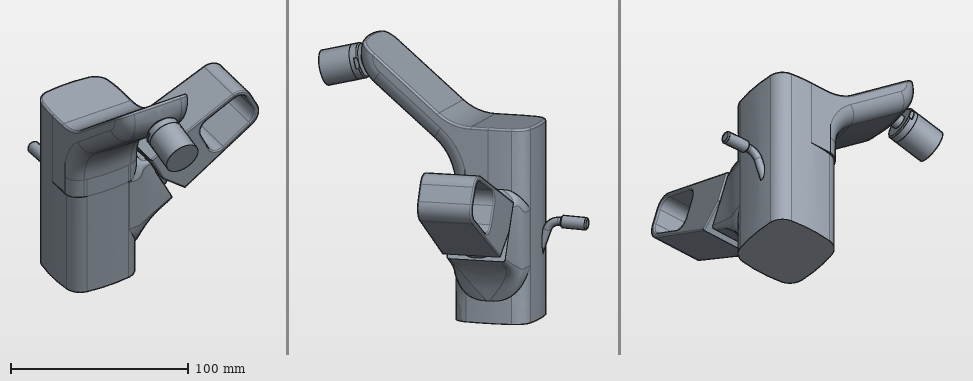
import cadquery as cq
import math

body_half = 23.1
crown_radius = 94.0
corner_radius = 10.0
column_height = 112.2
rim_round = 1.2

spout_angle = 39.7
spout_seam_height = 66.0
underside_bend_height = 77.6
underside_bend_radius = 32.5
underside_length = 47.0
tip_curl_radius = 22.5
tip_curl_angle = 80.0
top_bend_start = 10.4
top_bend_radius = 30.0
spout_section_depth = 22.3
spout_corner_radius = 9.3
trim_overrun = 80.0

outlet_angle = 14.0
outlet_x = 81.35
outlet_z = 142.75
stem_diameter = 8.6
stem_length = 9.0
shell_diameter = 20.4
shell_length = 18.7
collar_length = 4.9
collar_chamfer = 0.8
flat_height = 6.4
flat_depth = 2.4
flat_cut = 0.7

rod_y = -6.8
rod_z = 55.4
rod_diameter = 4.7
rod_bend_radius = 7.3
rod_bend_angle = 70.0
rod_tail_length = 18.0
rod_bend_start_x = -32.2
rod_neck_length = 1.7
knob_diameter = 7.2
knob_length = 15.3
knob_chamfer = 0.8
knob_tilt = 2.0

neck_tilt = 26.5
neck_face_y = 38.2
neck_face_z = 55.6
neck_face_height = 34.0
neck_face_half_width = 17.3
neck_face_corner = 1.5
neck_root_y = 13.0
neck_root_top = 75.0
neck_side_y = body_half
neck_side_top = 77.0
neck_side_bottom = 13.0
neck_root_bottom = 18.0
neck_root_half_width = 22.1
neck_side_half_width = 20.4
neck_root_top_corner = 9.5
neck_root_bottom_corner = 15.0
neck_side_top_corner = 11.0
neck_side_bottom_corner = 19.5
neck_top_middle = (26.0, 72.9)
neck_bottom_middle = (31.4, 29.7)
neck_stations = 4

dome_radius = 16.0
dome_sink = 2.9

handle_base_top = (31.1, 72.1)
handle_base_knee = (39.2, 56.1)
handle_base_bottom = (53.8, 44.5)
handle_tip_bottom = (106.1, 75.7)
handle_tip_top = (93.9, 100.0)
handle_corner = 9.0
handle_wall = 2.7
handle_hole_base = (64.7, 76.0)
handle_hole_corner = 7.0
handle_edge_round = 0.8
handle_wide_y = 45.0
handle_wide_half = 17.6
handle_narrow_y = 100.0
handle_narrow_half = 16.1


def sloped(point, length, angle):
    """Point reached from `point` by going `length` at `angle` degrees above horizontal."""
    a = math.radians(angle)
    return (point[0] + length * math.cos(a), point[1] + length * math.sin(a))


def line_crossing(p, p_angle, q, q_angle):
    """Crossing of two lines, each given by a point and an angle in degrees."""
    pa = math.radians(p_angle)
    qa = math.radians(q_angle)
    run = (q[0] - p[0]) * math.sin(qa) - (q[1] - p[1]) * math.cos(qa)
    return sloped(p, run / math.sin(qa - pa), p_angle)


def blend(start, end, t):
    """Value a fraction `t` of the way from `start` to `end`."""
    return start + t * (end - start)


def make_column():
    reach = crown_radius - body_half
    blank = cq.Workplane("XY").rect(4 * body_half, 4 * body_half).extrude(column_height)
    for x, y in ((reach, 0), (-reach, 0), (0, reach), (0, -reach)):
        crown = cq.Workplane("XY").center(x, y).circle(crown_radius).extrude(column_height)
        blank = blank.intersect(crown)
    return blank.edges("|Z").fillet(corner_radius)


def spout_section():
    """Flat sides, a crowned front and two round corners, drawn level at the seam."""
    crown_center = body_half - crown_radius
    corner_y = body_half - spout_corner_radius
    to_corner = crown_radius - spout_corner_radius
    corner_x = crown_center + math.sqrt(to_corner**2 - corner_y**2)
    half_turn = math.atan2(corner_y, corner_x - crown_center)
    front = (crown_center + crown_radius * math.cos(half_turn), crown_radius * math.sin(half_turn))
    middle_turn = (half_turn + math.pi / 2) / 2
    middle = (
        corner_x + spout_corner_radius * math.cos(middle_turn),
        corner_y + spout_corner_radius * math.sin(middle_turn),
    )
    back_x = body_half - spout_section_depth
    return (
        cq.Workplane("XY", origin=(0, 0, spout_seam_height))
        .moveTo(back_x, -body_half)
        .lineTo(corner_x, -body_half)
        .threePointArc((middle[0], -middle[1]), (front[0], -front[1]))
        .threePointArc((body_half, 0), front)
        .threePointArc(middle, (corner_x, body_half))
        .lineTo(back_x, body_half)
        .close()
    )


def spout_path():
    """Underside of the spout in the XZ plane: up, outward, along the slope, then curling up."""
    bend_center = (body_half + underside_bend_radius, underside_bend_height)
    bend_end_angle = 90 + spout_angle
    bend_middle = sloped(bend_center, underside_bend_radius, (180 + bend_end_angle) / 2)
    bend_end = sloped(bend_center, underside_bend_radius, bend_end_angle)
    slope_end = sloped(bend_end, underside_length, spout_angle)
    curl_center = sloped(slope_end, tip_curl_radius, spout_angle + 90)
    curl_start_angle = spout_angle - 90
    curl_middle = sloped(curl_center, tip_curl_radius, curl_start_angle + tip_curl_angle / 2)
    curl_end = sloped(curl_center, tip_curl_radius, curl_start_angle + tip_curl_angle)
    return (
        cq.Workplane("XZ")
        .moveTo(body_half, spout_seam_height)
        .lineTo(body_half, underside_bend_height)
        .threePointArc(bend_middle, bend_end)
        .lineTo(*slope_end)
        .threePointArc(curl_middle, curl_end)
    )


def space_below_top():
    """Everything under the top surface: level, one bend, then the slope."""
    bend_center = (top_bend_start, column_height + top_bend_radius)
    bend_middle = sloped(bend_center, top_bend_radius, spout_angle / 2 - 90)
    bend_end = sloped(bend_center, top_bend_radius, spout_angle - 90)
    far = sloped(bend_end, trim_overrun, spout_angle)
    return (
        cq.Workplane("XZ")
        .moveTo(-2 * body_half, 0)
        .lineTo(-2 * body_half, column_height)
        .lineTo(top_bend_start, column_height)
        .threePointArc(bend_middle, bend_end)
        .lineTo(*far)
        .lineTo(far[0], 0)
        .close()
        .extrude(2 * body_half, both=True)
    )


def make_spout():
    swept = spout_section().sweep(spout_path())
    cheek_length = body_half - spout_corner_radius
    cheeks = (
        cq.Workplane("XY", origin=(cheek_length / 2, 0, spout_seam_height))
        .rect(cheek_length, 2 * body_half)
        .extrude(trim_overrun)
    )
    return swept.union(cheeks).intersect(space_below_top())


def round_top_rim(body):
    """Round the edges that border the top faces, but not the lines between those faces."""
    top_faces = [
        face
        for face in body.faces().vals()
        if face.Center().z > column_height - rim_round and face.normalAt().z > 0.5
    ]
    border = []
    for face in top_faces:
        for edge in face.Edges():
            shared = sum(edge.isSame(other) for near in top_faces for other in near.Edges())
            if shared == 1:
                border.append(edge)
    return body.newObject(border).fillet(rim_round)


def neck_plane(y, z, tilt):
    """Plane facing outward in +Y and tilted up; its local x is -X and its local y points up."""
    t = math.radians(tilt)
    return cq.Plane(origin=(0, y, z), xDir=(-1, 0, 0), normal=(0, math.cos(t), math.sin(t)))


def neck_section(top, bottom, half_width, top_corner, bottom_corner):
    """Outline spanning from the bottom point to the top point, with its corners rounded."""
    half_height = math.hypot(top[0] - bottom[0], top[1] - bottom[1]) / 2
    tilt = math.degrees(math.atan2(bottom[0] - top[0], top[1] - bottom[1]))
    plane = neck_plane((top[0] + bottom[0]) / 2, (top[1] + bottom[1]) / 2, tilt)
    top_flat = half_width - top_corner
    bottom_flat = half_width - bottom_corner
    return (
        cq.Workplane(plane)
        .moveTo(bottom_flat, -half_height)
        .radiusArc((half_width, bottom_corner - half_height), -bottom_corner)
        .lineTo(half_width, half_height - top_corner)
        .radiusArc((top_flat, half_height), -top_corner)
        .lineTo(-top_flat, half_height)
        .radiusArc((-half_width, half_height - top_corner), -top_corner)
        .lineTo(-half_width, bottom_corner - half_height)
        .radiusArc((-bottom_flat, -half_height), -bottom_corner)
        .close()
        .val()
    )


def make_neck():
    face = (neck_face_y, neck_face_z)
    face_top = sloped(face, neck_face_height / 2, 90 + neck_tilt)
    face_bottom = sloped(face, neck_face_height / 2, neck_tilt - 90)
    top_ends = ((neck_side_y, neck_side_top), neck_top_middle, face_top)
    bottom_ends = ((neck_side_y, neck_side_bottom), neck_bottom_middle, face_bottom)
    top_curve = cq.Edge.makeThreePointArc(*(cq.Vector(*p) for p in top_ends))
    bottom_curve = cq.Edge.makeThreePointArc(*(cq.Vector(*p) for p in bottom_ends))
    root = neck_section(
        (neck_root_y, neck_root_top),
        (neck_root_y, neck_root_bottom),
        neck_root_half_width,
        neck_root_top_corner,
        neck_root_bottom_corner,
    )
    sections = [root]
    for i in range(neck_stations):
        t = i / (neck_stations - 1)
        rounding = (1 - t) ** 2
        sections.append(
            neck_section(
                top_curve.positionAt(t).toTuple(),
                bottom_curve.positionAt(t).toTuple(),
                blend(neck_side_half_width, neck_face_half_width, t),
                blend(neck_face_corner, neck_side_top_corner, rounding),
                blend(neck_face_corner, neck_side_bottom_corner, rounding),
            )
        )
    return cq.Workplane(cq.Solid.makeLoft(sections))


def make_dome():
    plane = neck_plane(neck_face_y, neck_face_z, neck_tilt)
    ball = cq.Workplane(plane).workplane(offset=-dome_sink).sphere(dome_radius)
    front = cq.Workplane(plane).rect(4 * dome_radius, 4 * dome_radius).extrude(2 * dome_radius)
    return ball.intersect(front)


def direction(start, end):
    """Angle in degrees of the line from `start` to `end`."""
    return math.degrees(math.atan2(end[1] - start[1], end[0] - start[0]))


def prism_across_x(outline):
    """Outline in the YZ plane, extended to both sides past the full width of the part."""
    return cq.Workplane("YZ").polyline(outline).close().extrude(2 * body_half, both=True)


def handle_hole():
    """Opening that leaves an even wall along the top, the tip and the bottom of the handle."""
    top_angle = direction(handle_base_top, handle_tip_top)
    bottom_angle = direction(handle_base_bottom, handle_tip_bottom)
    cross_angle = 90 + neck_tilt
    top_inside = sloped(handle_tip_top, handle_wall, top_angle - 90)
    bottom_inside = sloped(handle_tip_bottom, handle_wall, bottom_angle + 90)
    tip_inside = sloped(handle_tip_top, handle_wall, cross_angle + 90)
    outline = [
        line_crossing(top_inside, top_angle, tip_inside, cross_angle),
        line_crossing(bottom_inside, bottom_angle, tip_inside, cross_angle),
        line_crossing(bottom_inside, bottom_angle, handle_hole_base, cross_angle),
        line_crossing(top_inside, top_angle, handle_hole_base, cross_angle),
    ]
    return prism_across_x(outline).edges("|X").fillet(handle_hole_corner)


def handle_taper():
    """Plan shape of the handle, narrowing steadily away from the column."""
    slope = (handle_narrow_half - handle_wide_half) / (handle_narrow_y - handle_wide_y)
    far_y = handle_tip_bottom[0]
    far_half = handle_wide_half + slope * (far_y - handle_wide_y)
    root_half = handle_wide_half - slope * handle_wide_y
    return (
        cq.Workplane("XY")
        .polyline([(-root_half, 0), (root_half, 0), (far_half, far_y), (-far_half, far_y)])
        .close()
        .extrude(column_height)
    )


def make_handle(dome):
    outline = [handle_base_top, handle_base_knee, handle_base_bottom, handle_tip_bottom, handle_tip_top]
    handle = prism_across_x(outline).edges("|X").edges(">Y or >Z").fillet(handle_corner)
    handle = handle.intersect(handle_taper()).cut(handle_hole())
    handle = handle.faces("<X or >X").edges().fillet(handle_edge_round)
    return handle.cut(dome)


def outlet_plane(offset):
    """Plane across the outlet axis, `offset` past the back of the collar."""
    a = math.radians(outlet_angle)
    x, z = sloped((outlet_x, outlet_z), offset, -outlet_angle)
    return cq.Plane(origin=(x, 0, z), xDir=(0, 1, 0), normal=(math.cos(a), 0, -math.sin(a)))


def make_stem():
    return cq.Workplane(outlet_plane(-stem_length)).circle(stem_diameter / 2).extrude(stem_length)


def make_collar():
    collar = cq.Workplane(outlet_plane(0)).circle(shell_diameter / 2).extrude(collar_length)
    collar = collar.faces("<X").edges().chamfer(collar_chamfer)
    for side in (-1, 1):
        flat = (
            cq.Workplane(outlet_plane(0))
            .center(side * (shell_diameter / 2), 0)
            .rect(2 * flat_cut, flat_height)
            .extrude(flat_depth)
        )
        collar = collar.cut(flat)
    return collar


def make_shell():
    return cq.Workplane(outlet_plane(collar_length)).circle(shell_diameter / 2).extrude(shell_length)


def make_rod():
    neck_start = rod_bend_start_x - rod_neck_length
    center = (rod_bend_start_x, rod_z - rod_bend_radius)
    bend_middle = sloped(center, rod_bend_radius, 90 - rod_bend_angle / 2)
    bend_end = sloped(center, rod_bend_radius, 90 - rod_bend_angle)
    tail_end = sloped(bend_end, rod_tail_length, -rod_bend_angle)
    path = (
        cq.Workplane("XZ", origin=(0, rod_y, 0))
        .moveTo(neck_start, rod_z)
        .lineTo(rod_bend_start_x, rod_z)
        .threePointArc(bend_middle, bend_end)
        .lineTo(*tail_end)
    )
    start = cq.Workplane("YZ", origin=(neck_start, rod_y, rod_z))
    return start.circle(rod_diameter / 2).sweep(path)


def make_knob(rod):
    end_x = rod_bend_start_x - rod_neck_length
    end = (end_x, rod_y, rod_z)
    knob = cq.Workplane("YZ", origin=end).circle(knob_diameter / 2).extrude(-knob_length)
    knob = knob.faces("<X or >X").edges().chamfer(knob_chamfer)
    return knob.rotate(end, (end_x, rod_y + 1, rod_z), -knob_tilt).cut(rod)


def make_housing(stem, rod):
    """Column, spout and neck in one piece, with sockets for the stem and the pull rod."""
    housing = round_top_rim(make_column().union(make_spout()))
    return housing.union(make_neck()).cut(stem).cut(rod)


dome = make_dome()
handle = make_handle(dome)
stem = make_stem()
collar = make_collar()
shell = make_shell()
rod = make_rod()
knob = make_knob(rod)

housing = make_housing(stem, rod)

bodies = [housing, dome, handle, stem, collar, shell, rod, knob]
result = cq.Compound.makeCompound([solid for body in bodies for solid in body.solids().vals()])